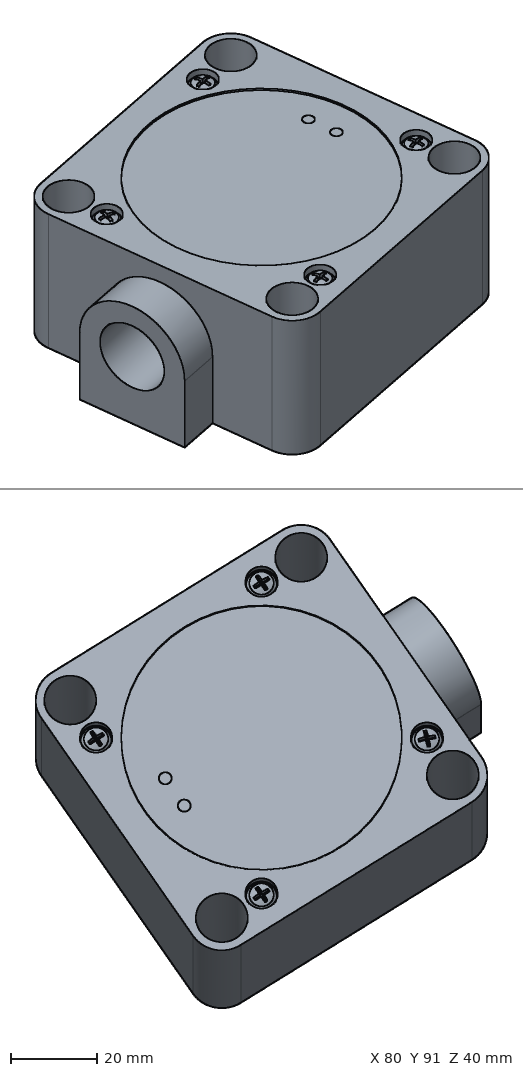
import cadquery as cq
import math

side = 80.0
height = 40.0
corner_radius = 8.0
mount_hole_diameter = 12.0
mount_offset = side / 2 - corner_radius

overall_length = 91.0
boss_length = overall_length - side
boss_width = 30.0
boss_axis_height = height / 2
entry_diameter = 18.4
entry_depth = 30.0
entry_tip_angle = 118.0

face_diameter = 65.0
face_depth = 0.55
face_level = height - face_depth

screw_far = 32.0
screw_near = 21.0
screw_recess_diameter = 7.5
screw_recess_depth = 2.2
head_diameter = 7.1
head_rim_height = 0.4
head_shoulder_diameter = 5.6
head_shoulder_height = 1.2
head_crown_height = 1.8
cross_length = 4.1
cross_width = 0.8
cross_depth = 1.3
cross_taper = 10
screws = [
    (screw_near, screw_far, 0),
    (-screw_far, screw_near, 0),
    (-screw_near, -screw_far, -20),
    (screw_far, -screw_near, 0),
]

lamp_hole_diameter = 3.0
lamp_diameter = 2.9
lamp_depth = 2.0
lamp_offset_x = 4.0
lamp_y = 24.0
lamp_places = [(-lamp_offset_x, lamp_y), (lamp_offset_x, lamp_y)]


def make_block():
    block = cq.Workplane("XY").rect(side, side).extrude(height)
    block = block.edges("|Z").fillet(corner_radius)
    return (
        block.faces(">Z").workplane(origin=(0, 0, height))
        .rect(2 * mount_offset, 2 * mount_offset, forConstruction=True)
        .vertices().hole(mount_hole_diameter)
    )


def make_boss():
    """Flat-sided boss with a round top, standing on the bottom plane."""
    radius = boss_width / 2
    return (
        cq.Workplane("XZ", origin=(0, -side / 2, 0))
        .moveTo(-radius, 0)
        .lineTo(radius, 0)
        .lineTo(radius, boss_axis_height)
        .threePointArc((0, boss_axis_height + radius), (-radius, boss_axis_height))
        .close()
        .extrude(boss_length)
    )


def make_entry_cutter():
    """Blind cable entry with a conical drill tip, revolved about the boss axis."""
    radius = entry_diameter / 2
    start = -side / 2 - boss_length
    tip_length = radius / math.tan(math.radians(entry_tip_angle / 2))
    return (
        cq.Workplane("XY", origin=(0, start, boss_axis_height))
        .polyline([(0, 0), (radius, 0), (radius, entry_depth), (0, entry_depth + tip_length)])
        .close()
        .revolve(360, (0, 0, 0), (0, 1, 0))
    )


def make_screw_head(x, y, turn):
    """Domed screw head with a cross slot, resting on the floor of its recess."""
    floor = height - screw_recess_depth
    rim = head_diameter / 2
    shoulder = head_shoulder_diameter / 2
    dome_rise = head_crown_height - head_shoulder_height
    dome_radius = (shoulder**2 + dome_rise**2) / (2 * dome_rise)
    dome_mid_x = shoulder / 2
    dome_mid_height = head_crown_height - dome_radius + math.sqrt(dome_radius**2 - dome_mid_x**2)
    head = (
        cq.Workplane("XZ")
        .lineTo(rim, 0)
        .lineTo(rim, head_rim_height)
        .lineTo(shoulder, head_shoulder_height)
        .threePointArc((dome_mid_x, dome_mid_height), (0, head_crown_height))
        .close()
        .revolve(360, (0, 0, 0), (0, 1, 0))
    )
    slots = cq.Workplane("XY", origin=(0, 0, head_crown_height))
    for length, width in [(cross_length, cross_width), (cross_width, cross_length)]:
        head = head.cut(slots.rect(length, width).extrude(-cross_depth, taper=cross_taper))
    return head.rotate((0, 0, 0), (0, 0, 1), turn).translate((x, y, floor))


def top_pocket(places, diameter, floor):
    """Round cutters from the given floor level up to the top plane."""
    return (
        cq.Workplane("XY", origin=(0, 0, floor))
        .pushPoints(places)
        .circle(diameter / 2)
        .extrude(height - floor)
    )


def make_housing():
    housing = make_block().union(make_boss()).cut(make_entry_cutter())
    housing = housing.cut(top_pocket([(0, 0)], face_diameter, face_level))
    housing = housing.cut(top_pocket(lamp_places, lamp_hole_diameter, face_level - lamp_depth))
    screw_places = [(x, y) for x, y, turn in screws]
    recess_floor = height - screw_recess_depth
    housing = housing.cut(top_pocket(screw_places, screw_recess_diameter, recess_floor))
    for x, y, turn in screws:
        housing = housing.union(make_screw_head(x, y, turn))
    return housing


def make_lamp(x, y):
    """Plain round lamp, flush with the sensing face."""
    return (
        cq.Workplane("XY", origin=(x, y, face_level - lamp_depth))
        .circle(lamp_diameter / 2)
        .extrude(lamp_depth)
    )


housing = make_housing()
lamps = [make_lamp(x, y) for x, y in lamp_places]
result = cq.Compound.makeCompound([housing.val(), *[lamp.val() for lamp in lamps]])